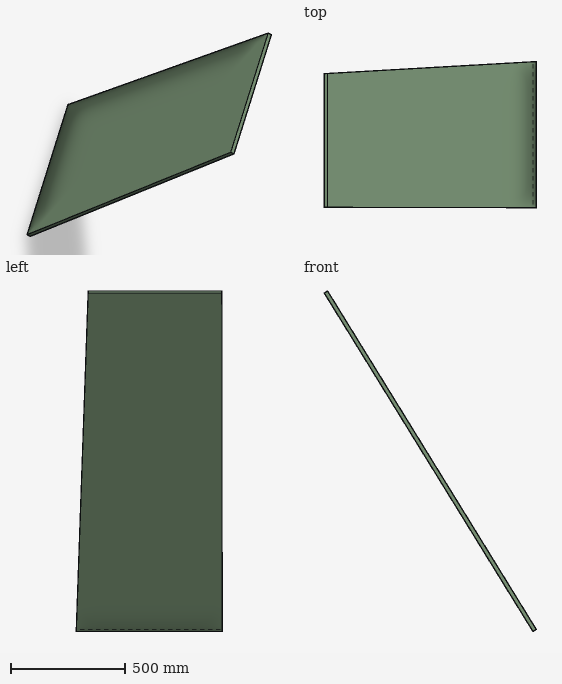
import cadquery as cq
import math

extent_x = 930.0
extent_z = 1493.0
thickness = 18.0

top_width = 587.0
bottom_width = 640.0
front_taper = 1.0
back_taper = bottom_width - top_width - front_taper

lean_passes = 10
lean = math.atan2(extent_x, extent_z)
for _ in range(lean_passes):
    run = extent_x - thickness * math.cos(lean)
    drop = extent_z - thickness * math.sin(lean)
    lean = math.atan2(run, drop)
length = math.hypot(run, drop)

flat_panel = (
    cq.Workplane("XY")
    .moveTo(0, 0)
    .lineTo(length, -front_taper)
    .lineTo(length, top_width + back_taper)
    .lineTo(0, top_width)
    .close()
    .extrude(thickness)
)

tilt_degrees = 90 - math.degrees(lean)
result = flat_panel.rotate((0, 0, 0), (0, 1, 0), tilt_degrees)